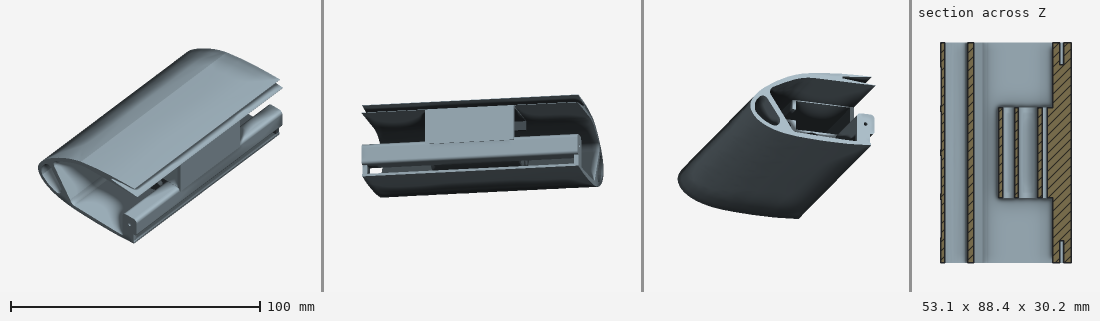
import cadquery as cq

length = 88.4
overall_width = 53.1
overall_height = 30.15

nose = (0, 11.4)
upper_seam = (23.0, 28.0)
upper_lip_x = 51.5
floor_end = (51.4, 0.7)
floor_top = 1.7
ceiling = 26.5
ceiling_curve_x = 27.0
lip_thickness = 0.2
lower_lip_flat_x = 52.5
slot_root_x = 39.25
slot_root_bottom = 27.9
slot_root_top = 28.6

rail_left = 45.3
rail_right = 52.8
rail_bottom = 5.5
rail_top = 13.9
rail_top_radius = 1.7
rail_bottom_radius = 1.2
leg_right = 50.9
leg_thickness = 1.9
pin_hole_center = (49.0, 9.55)
pin_hole_diameter = 1.5
pin_hole_depth = 8.8

bracket_length = 36.2
opening_left = 28.55
opening_right = 51.5
opening_bottom = 14.0
opening_top = 26.2
bracket_top = ceiling + lip_thickness
tab_width = 1.6
tab_bottom = 22.5
step_top = 17.9
wall_bottom = 12.4
bracket_holes = [
    (24.6, 15.1, 3.6),
    (27.6, 10.5, 5.0),
    (35.45, 9.6, 7.7),
    (42.1, 10.9, 3.3),
]


def extrude_centered(profile, depth):
    """Extrude an XZ profile by depth, centred on Y = 0."""
    return profile.extrude(depth).translate((0, depth / 2, 0))


def box(x_min, x_max, z_min, z_max, depth):
    """Block spanning the given X and Z ranges, centred on Y = 0."""
    profile = cq.Workplane("XZ").moveTo(x_min, z_min).lineTo(x_max, z_min)
    return extrude_centered(profile.lineTo(x_max, z_max).lineTo(x_min, z_max).close(), depth)


def make_shell():
    """Streamlined skin with a diagonal web, split trailing lip and open rear."""
    profile = (
        cq.Workplane("XZ")
        .moveTo(*floor_end)
        .spline(
            [(37.9, 0), (25.55, 0.3), (12.8, 1.6), (5.3, 4.3), (1.2, 7.9), nose,
             (2.3, 16.4), (8.7, 21.75), (16.0, 25.7), upper_seam],
            includeCurrent=True,
        )
        .spline([(33.4, 29.4), (41.6, 30.0), (upper_lip_x, overall_height)], includeCurrent=True)
        .lineTo(upper_lip_x, overall_height - lip_thickness)
        .lineTo(slot_root_x, slot_root_top)
        .lineTo(slot_root_x, slot_root_bottom)
        .lineTo(lower_lip_flat_x, ceiling + lip_thickness)
        .lineTo(overall_width, ceiling + lip_thickness)
        .lineTo(overall_width, ceiling)
        .lineTo(ceiling_curve_x, ceiling)
        .spline([(21.4, 25.7), (16.35, 23.9), (10.0, 20.7)], includeCurrent=True)
        .threePointArc((8.6, 19.3), (8.7, 17.2))
        .lineTo(17.15, 4.3)
        .threePointArc((17.95, 3.1), (19.0, 2.4))
        .lineTo(40.2, floor_top)
        .lineTo(floor_end[0], floor_top)
        .close()
    )
    return extrude_centered(profile, length)


def make_nose_channel():
    """Rounded triangular channel between the nose and the web."""
    profile = (
        cq.Workplane("XZ")
        .moveTo(7.3, 15.2)
        .lineTo(12.3, 7.9)
        .threePointArc((12.5, 5.6), (10.2, 4.0))
        .spline([(6.6, 5.4), (2.3, 9.1)], includeCurrent=True)
        .threePointArc((1.95, 12.2), (3.8, 15.5))
        .threePointArc((5.5, 16.3), (7.3, 15.2))
        .close()
    )
    return extrude_centered(profile, length)


def make_rail():
    """Rounded rail with end legs and a blind pin hole in each end."""
    rail = box(rail_left, rail_right, rail_bottom, rail_top, length)
    rail = rail.edges("|Y and >Z").fillet(rail_top_radius)
    rail = rail.edges("|Y and >X and <Z").fillet(rail_bottom_radius)
    leg_top = rail_bottom + rail_bottom_radius
    leg_bottom = floor_top / 2
    legs = box(rail_left, leg_right, leg_bottom, leg_top, length)
    legs = legs.cut(box(rail_left, leg_right, leg_bottom, leg_top, length - 2 * leg_thickness))
    rail = rail.union(legs)
    pin_holes = extrude_centered(
        cq.Workplane("XZ").moveTo(*pin_hole_center).circle(pin_hole_diameter / 2), length
    )
    solid_core = box(rail_left, rail_right, rail_bottom, rail_top, length - 2 * pin_hole_depth)
    return rail.cut(pin_holes.cut(solid_core))


def make_bracket():
    """C-shaped bracket: hanging tab, top strip, rear wall and perforated belly."""
    profile = (
        cq.Workplane("XZ")
        .moveTo(opening_left, step_top)
        .lineTo(20.9, step_top)
        .threePointArc((20.0, 17.5), (19.7, 16.6))
        .threePointArc((25.8, 7.4), (33.9, 4.6))
        .threePointArc((39.8, 5.5), (rail_left, 8.7))
        .lineTo(opening_right, wall_bottom)
        .lineTo(overall_width, wall_bottom)
        .lineTo(overall_width, bracket_top)
        .lineTo(opening_left - tab_width, bracket_top)
        .lineTo(opening_left - tab_width, tab_bottom)
        .lineTo(opening_left, tab_bottom)
        .lineTo(opening_left, opening_top)
        .lineTo(opening_right, opening_top)
        .lineTo(opening_right, opening_bottom)
        .lineTo(opening_left, opening_bottom)
        .close()
    )
    bracket = extrude_centered(profile, bracket_length)
    for x, z, diameter in bracket_holes:
        hole = cq.Workplane("XZ").moveTo(x, z).circle(diameter / 2)
        bracket = bracket.cut(extrude_centered(hole, bracket_length))
    return bracket


shell = make_shell().cut(make_nose_channel())
result = shell.union(make_bracket()).union(make_rail())